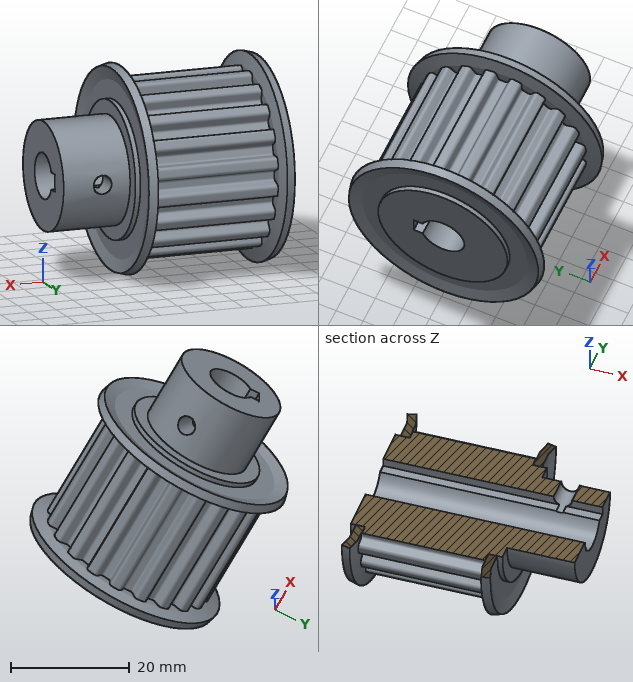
import cadquery as cq
import math


TOTAL_LENGTH = 39.0
RIM_LENGTH = 27.0
BOSS_LENGTH = 2.5
TOOTHED_LENGTH = RIM_LENGTH - 2 * BOSS_LENGTH

BOSS_RADIUS = 24.0 / 2
HUB_RADIUS = 19.0 / 2
BORE_RADIUS = 8.0 / 2
KEYWAY_WIDTH = 3.0
KEYWAY_REACH = 5.4
SCREW_HOLE_RADIUS = 3.25 / 2
SCREW_HOLE_X = 31.95
SCREW_HOLE_ANGLES = (0, 240)

TOOTH_COUNT = 20
TIP_RADIUS = 31.0 / 2
GROOVE_FLOOR_RADIUS = 13.65
GROOVE_FLOOR_WIDTH = 1.55
FLANK_ANGLE = 20.0
ROOT_FILLET = 0.43
TIP_FILLET = 0.62

FLANGE_RADIUS = 36.0 / 2
FLANGE_THICKNESS = 1.6
DISH_ANGLE = 15.0


def x_cylinder(radius, start, end):
    return cq.Workplane("YZ", origin=(start, 0, 0)).circle(radius).extrude(end - start)


def x_edges(solid, inner_radius, outer_radius):
    """Edges parallel to X that lie between two distances from the axis."""
    return solid.edges("|X").filter(
        lambda edge: inner_radius < math.hypot(edge.Center().y, edge.Center().z) < outer_radius
    )


def make_toothed_stretch():
    """Cylinder with straight trapezoidal grooves, one of them centred on +Y."""
    cutter_top = TIP_RADIUS + TIP_FILLET
    half_floor = GROOVE_FLOOR_WIDTH / 2
    flank_slope = math.tan(math.radians(FLANK_ANGLE))
    half_top = half_floor + (cutter_top - GROOVE_FLOOR_RADIUS) * flank_slope
    groove = (
        cq.Workplane("YZ", origin=(BOSS_LENGTH, 0, 0))
        .polyline([
            (GROOVE_FLOOR_RADIUS, -half_floor),
            (cutter_top, -half_top),
            (cutter_top, half_top),
            (GROOVE_FLOOR_RADIUS, half_floor),
        ])
        .close()
        .extrude(TOOTHED_LENGTH)
    )
    teeth = x_cylinder(TIP_RADIUS, BOSS_LENGTH, BOSS_LENGTH + TOOTHED_LENGTH)
    for i in range(TOOTH_COUNT):
        teeth = teeth.cut(groove.rotate((0, 0, 0), (1, 0, 0), i * 360 / TOOTH_COUNT))

    mid_radius = (GROOVE_FLOOR_RADIUS + TIP_RADIUS) / 2
    teeth = x_edges(teeth, mid_radius, cutter_top).fillet(TIP_FILLET)
    return x_edges(teeth, BOSS_RADIUS, mid_radius).fillet(ROOT_FILLET)


def make_pulley():
    """Toothed stretch, bosses and hub in one solid, with bore, keyway and screw holes."""
    pulley = (
        make_toothed_stretch()
        .union(x_cylinder(BOSS_RADIUS, 0, RIM_LENGTH))
        .union(x_cylinder(HUB_RADIUS, 0, TOTAL_LENGTH))
        .cut(x_cylinder(BORE_RADIUS, 0, TOTAL_LENGTH))
    )
    keyway = cq.Workplane("XY").box(
        TOTAL_LENGTH, KEYWAY_REACH, KEYWAY_WIDTH, centered=(False, False, True)
    )
    pulley = pulley.cut(keyway)

    screw_hole = (
        cq.Workplane("XZ", origin=(SCREW_HOLE_X, 0, 0))
        .circle(SCREW_HOLE_RADIUS)
        .extrude(-HUB_RADIUS)
    )
    for angle in SCREW_HOLE_ANGLES:
        pulley = pulley.cut(screw_hole.rotate((0, 0, 0), (1, 0, 0), angle))
    return pulley


def make_flange():
    """Ring of even thickness, flat against the teeth at X = BOSS_LENGTH, rim dished toward -X."""
    dish = math.radians(DISH_ANGLE)
    flat_inner_x = BOSS_LENGTH
    flat_outer_x = flat_inner_x - FLANGE_THICKNESS
    inner_bend_radius = TIP_RADIUS
    outer_bend_radius = inner_bend_radius - FLANGE_THICKNESS * math.tan(dish / 2)

    inner_rim_x = flat_inner_x - (FLANGE_RADIUS - inner_bend_radius) * math.tan(dish)
    outer_rim_x = inner_rim_x - FLANGE_THICKNESS * math.cos(dish)
    outer_rim_radius = FLANGE_RADIUS - FLANGE_THICKNESS * math.sin(dish)

    return (
        cq.Workplane("XY")
        .polyline([
            (flat_inner_x, BOSS_RADIUS),
            (flat_inner_x, inner_bend_radius),
            (inner_rim_x, FLANGE_RADIUS),
            (outer_rim_x, outer_rim_radius),
            (flat_outer_x, outer_bend_radius),
            (flat_outer_x, BOSS_RADIUS),
        ])
        .close()
        .revolve(360, (0, 0, 0), (1, 0, 0))
    )


pulley = make_pulley()
near_flange = make_flange()
far_flange = near_flange.mirror("YZ", (RIM_LENGTH / 2, 0, 0))

result = cq.Compound.makeCompound([pulley.val(), near_flange.val(), far_flange.val()])